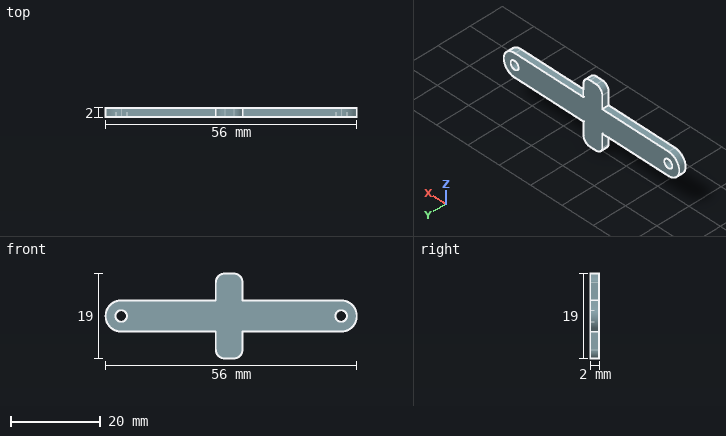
import cadquery as cq

length = 56.0
strap_width = 7.0
thickness = 2.0

tab_width = 6.0
tab_height = 19.0
tab_corner_radius = 2.0
tab_offset = -0.45

hole_diameter = 2.5
hole_spacing = length - strap_width


def make_strap():
    return (
        cq.Workplane("XZ")
        .slot2D(length, strap_width)
        .extrude(thickness / 2, both=True)
    )


def make_tab():
    return (
        cq.Workplane("XZ")
        .center(tab_offset, 0)
        .rect(tab_width, tab_height)
        .extrude(thickness / 2, both=True)
        .edges("|Y")
        .fillet(tab_corner_radius)
    )


def make_end_holes():
    return (
        cq.Workplane("XZ")
        .rarray(hole_spacing, 0.55, 2, 1)
        .circle(hole_diameter / 2)
        .extrude(thickness, both=True)
    )


result = make_strap().union(make_tab()).cut(make_end_holes())